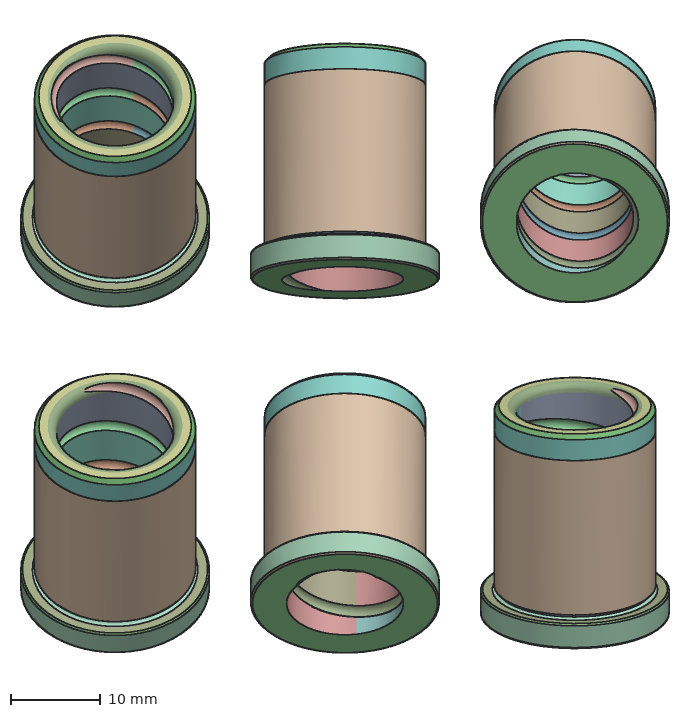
import cadquery as cq
import math

total_height = 25.0
flange_radius = 10.5
flange_height = 3.0
flange_chamfer = 0.2

body_radius = 9.0
tip_clearance = 0.025
tip_radius = body_radius - tip_clearance
tip_length = 3.0
tip_chamfer = 0.5

bore_radius = 6.5
mouth_round = 1.0

relief_reach = 0.5
relief_undercut_angle = 8.0
relief_undercut_width = 0.3
relief_chamfer = 0.4
relief_floor_radius = 0.4

groove_pitch = 6.0
groove_radius = 0.75
groove_depth = 0.6
groove_path_radius = bore_radius + groove_depth - groove_radius
groove_top_angle = 239.0
groove_overrun = 1.0


def make_turned_body():
    """Revolve the half section (R, Z) about the Z axis."""
    undercut_drop = relief_undercut_width * math.tan(math.radians(relief_undercut_angle))
    undercut_foot = (body_radius + relief_reach - relief_undercut_width, flange_height - undercut_drop)
    chamfer_foot = (body_radius - relief_chamfer, flange_height + relief_reach - relief_chamfer)
    round_offset = mouth_round * (1 - math.sqrt(0.5))
    section = (
        cq.Workplane("XZ")
        .moveTo(bore_radius, 0)
        .lineTo(flange_radius - flange_chamfer, 0)
        .lineTo(flange_radius, flange_chamfer)
        .lineTo(flange_radius, flange_height - flange_chamfer)
        .lineTo(flange_radius - flange_chamfer, flange_height)
        .lineTo(body_radius + relief_reach, flange_height)
        .lineTo(*undercut_foot)
        .radiusArc(chamfer_foot, relief_floor_radius)
        .lineTo(body_radius, flange_height + relief_reach)
        .lineTo(body_radius, total_height - tip_length)
        .lineTo(tip_radius, total_height - tip_length)
        .lineTo(tip_radius, total_height - tip_chamfer)
        .lineTo(tip_radius - tip_chamfer, total_height)
        .lineTo(bore_radius + mouth_round, total_height)
        .threePointArc(
            (bore_radius + round_offset, total_height - round_offset),
            (bore_radius, total_height - mouth_round),
        )
        .close()
    )
    return section.revolve(360, (0, 0, 0), (0, 1, 0))


def make_groove_turn():
    """One turn of the round cutter along the bore helix, rising from Z = 0 at the +X side."""
    helix = cq.Wire.makeHelix(groove_pitch, groove_pitch, groove_path_radius)
    return (
        cq.Workplane("XZ")
        .center(groove_path_radius, 0)
        .circle(groove_radius)
        .sweep(cq.Workplane(obj=helix), isFrenet=True)
    )


def cut_oil_groove(part):
    """Cut the groove turn by turn, from below the bottom face to above the top face."""
    start_angle = groove_top_angle - 360 * (total_height + groove_overrun) / groove_pitch
    turn_count = math.ceil((total_height + 2 * groove_overrun) / groove_pitch)
    turn = make_groove_turn().rotate((0, 0, 0), (0, 0, 1), start_angle)
    for index in range(turn_count):
        part = part.cut(turn.translate((0, 0, index * groove_pitch - groove_overrun)))
    return part


result = cut_oil_groove(make_turned_body())